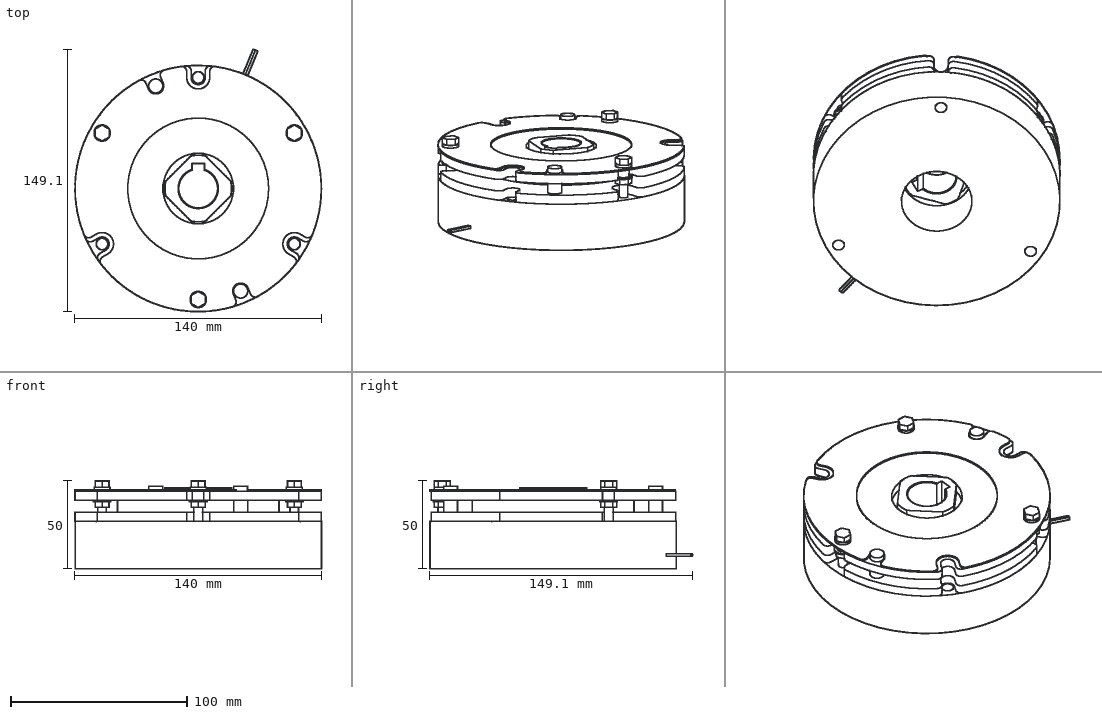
import cadquery as cq
import math


outer_radius = 70.0
bolt_circle_radius = 63.0
clearance = 1.0

housing_top = 27.0
armature_top = 32.3
rotor_top = 39.0
flange_top = 44.2
sheet_top = 45.0
hub_top = 46.0

mounting_angles = [90, 210, 330]
screw_angles = [30, 150, 270]
pin_angles = [112.5, 292.5]

housing_bore_diameter = 40.0
mounting_hole_diameter = 6.5
pin_diameter = 8.0
pin_top = 47.0
wire_angle = 67.5
wire_diameter = 1.55
wire_spacing = 1.45
wire_height = 8.0
wire_end_radius = 85.02
wire_embedded_length = 5.0
wire_start_radius = outer_radius - wire_embedded_length

narrow_notch_half_width = 4.0
narrow_notch_flare = 3.0
wide_notch_half_width = 6.5
wide_notch_flare = 3.0
pin_notch_half_width = 4.5
pin_notch_flare = 3.0

armature_bore_diameter = 40.0
flange_bore_diameter = 40.0
sheet_bore_diameter = 80.0

rotor_diameter = 92.0
hub_square = 32.0
hub_corner_diameter = 38.0
hub_length = 20.0
shaft_diameter = 22.0
shaft_chamfer = 0.4
key_width = 7.0
key_top = 14.1

screw_diameter = 5.0
hex_across_flats = 8.0
head_height = 3.5
top_washer_diameter = 9.2
top_washer_thickness = 1.5
sleeve_diameter = 6.5
lower_washer_diameter = 10.0
lower_washer_thickness = 0.7
nut_height = 3.3


def disc(diameter, bottom, top):
    """Cylinder on the Z axis between two heights."""
    return cq.Workplane("XY").workplane(offset=bottom).circle(diameter / 2).extrude(top - bottom)


def on_bolt_circle(shape, angle):
    """Move a shape modelled on the Z axis out to the bolt circle."""
    return shape.translate((bolt_circle_radius, 0, 0)).rotate((0, 0, 0), (0, 0, 1), angle)


def holes(diameter, bottom, top, angles):
    """Cylindrical cutters on the bolt circle at the given angles."""
    drills = cq.Workplane("XY")
    for angle in angles:
        drills = drills.add(on_bolt_circle(disc(diameter, bottom, top), angle))
    return drills.combine()


def edge_notch(half_width, flare, bottom, top, angle):
    """U-shaped cutter, centred on the bolt circle, with a mouth rounded into the rim."""
    flare_y = half_width + flare
    flare_x = math.sqrt((outer_radius - flare) ** 2 - flare_y ** 2)
    rim_scale = outer_radius / (outer_radius - flare)
    rim_x, rim_y = flare_x * rim_scale, flare_y * rim_scale
    middle_angle = (math.atan2(flare_y, flare_x) - math.pi / 2) / 2
    middle_x = flare_x + flare * math.cos(middle_angle)
    middle_y = flare_y + flare * math.sin(middle_angle)
    outside_x = outer_radius + clearance
    profile = (
        cq.Workplane("XY").workplane(offset=bottom)
        .moveTo(bolt_circle_radius, half_width)
        .lineTo(flare_x, half_width)
        .threePointArc((middle_x, middle_y), (rim_x, rim_y))
        .lineTo(outside_x, rim_y)
        .lineTo(outside_x, -rim_y)
        .lineTo(rim_x, -rim_y)
        .threePointArc((middle_x, -middle_y), (flare_x, -half_width))
        .lineTo(bolt_circle_radius, -half_width)
        .threePointArc((bolt_circle_radius - half_width, 0), (bolt_circle_radius, half_width))
        .close()
    )
    return profile.extrude(top - bottom).rotate((0, 0, 0), (0, 0, 1), angle)


def make_wires():
    """Two parallel wires leaving the housing radially."""
    start = cq.Plane(origin=(wire_start_radius, 0, wire_height), xDir=(0, 1, 0), normal=(1, 0, 0))
    wires = cq.Workplane("XY")
    for side in (-1, 1):
        wire = (
            cq.Workplane(start)
            .center(side * wire_spacing / 2, 0)
            .circle(wire_diameter / 2)
            .extrude(wire_end_radius - wire_start_radius)
        )
        wires = wires.add(wire)
    return wires.combine().rotate((0, 0, 0), (0, 0, 1), wire_angle)


def make_housing():
    """Magnet housing with its two guide pins and connecting wires."""
    housing = disc(2 * outer_radius, 0, housing_top)
    housing = housing.union(make_wires())
    for angle in pin_angles:
        housing = housing.union(on_bolt_circle(disc(pin_diameter, housing_top, pin_top), angle))
    housing = housing.cut(disc(housing_bore_diameter, 0, housing_top))
    return housing.cut(holes(mounting_hole_diameter, 0, housing_top, mounting_angles))


def make_notched_plate(bore_diameter, bottom, top):
    """Plate with narrow mounting notches, wide screw notches and guide pin holes."""
    plate = disc(2 * outer_radius, bottom, top).cut(disc(bore_diameter, bottom, top))
    for angle in mounting_angles:
        plate = plate.cut(edge_notch(narrow_notch_half_width, narrow_notch_flare, bottom, top, angle))
    for angle in screw_angles:
        plate = plate.cut(edge_notch(wide_notch_half_width, wide_notch_flare, bottom, top, angle))
    return plate.cut(holes(pin_diameter, bottom, top, pin_angles))


def make_sheet():
    """Thin friction sheet: wide mounting notches, pin notches and screw holes."""
    bottom, top = flange_top, sheet_top
    sheet = disc(2 * outer_radius, bottom, top).cut(disc(sheet_bore_diameter, bottom, top))
    for angle in mounting_angles:
        sheet = sheet.cut(edge_notch(wide_notch_half_width, wide_notch_flare, bottom, top, angle))
    for angle in pin_angles:
        sheet = sheet.cut(edge_notch(pin_notch_half_width, pin_notch_flare, bottom, top, angle))
    return sheet.cut(holes(screw_diameter, bottom, top, screw_angles))


def square_prism(bottom, top):
    """Square on its corner, shared by the hub and the rotor opening."""
    prism = cq.Workplane("XY").workplane(offset=bottom).rect(hub_square, hub_square).extrude(top - bottom)
    return prism.rotate((0, 0, 0), (0, 0, 1), 45)


def make_rotor():
    """Friction disc with a square opening that slides on the hub."""
    return disc(rotor_diameter, armature_top, rotor_top).cut(square_prism(armature_top, rotor_top))


def make_hub():
    """Square hub with turned corners and a keyed shaft bore."""
    bottom = hub_top - hub_length
    hub = square_prism(bottom, hub_top).intersect(disc(hub_corner_diameter, bottom, hub_top))
    hub = hub.cut(disc(shaft_diameter, bottom, hub_top))
    bore_edges = cq.selectors.RadiusNthSelector(0)
    hub = hub.faces("<Z or >Z").edges(bore_edges).chamfer(shaft_chamfer)
    keyway = (
        cq.Workplane("XY").workplane(offset=bottom)
        .center(0, key_top / 2)
        .rect(key_width, key_top)
        .extrude(hub_length)
    )
    return hub.cut(keyway)


def hexagon(bottom, top):
    """Hexagon with flats facing +X and -X."""
    corner_diameter = hex_across_flats / math.cos(math.pi / 6)
    prism = cq.Workplane("XY").workplane(offset=bottom).polygon(6, corner_diameter).extrude(top - bottom)
    return prism.rotate((0, 0, 0), (0, 0, 1), 30)


def make_screw(angle):
    """Hex screw with its washers, spacer sleeve and nut, standing on the housing."""
    washer_top = sheet_top + top_washer_thickness
    nut_top = rotor_top - lower_washer_thickness
    screw = disc(screw_diameter, housing_top, washer_top)
    screw = screw.union(hexagon(washer_top, washer_top + head_height))
    screw = screw.union(disc(top_washer_diameter, sheet_top, washer_top))
    screw = screw.union(disc(sleeve_diameter, rotor_top, flange_top))
    screw = screw.union(disc(lower_washer_diameter, nut_top, rotor_top))
    screw = screw.union(hexagon(nut_top - nut_height, nut_top))
    return on_bolt_circle(screw.rotate((0, 0, 0), (0, 0, 1), -angle), angle)


housing = make_housing()
armature = make_notched_plate(armature_bore_diameter, housing_top, armature_top)
rotor = make_rotor()
hub = make_hub()
flange = make_notched_plate(flange_bore_diameter, rotor_top, flange_top)
sheet = make_sheet()
screws = [make_screw(angle) for angle in screw_angles]

bodies = [housing, armature, rotor, hub, flange, sheet, *screws]
result = cq.Compound.makeCompound([body.val() for body in bodies])